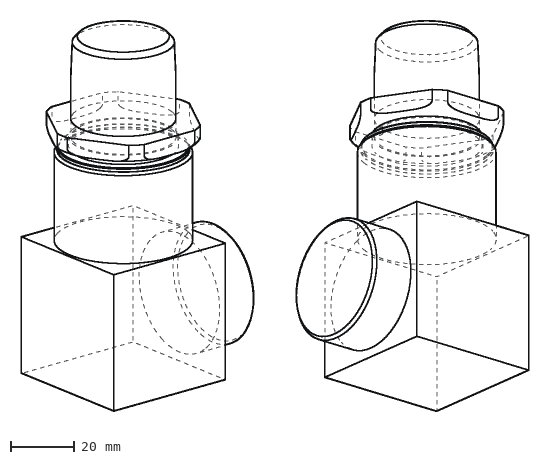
import cadquery as cq
import math

cube_size = 46.0
port_diameter = 40.0
port_reach = 38.0
port_chamfer = 1.0

barrel_diameter = 44.0
barrel_chamfer = 0.9
collar_diameter = 42.0
collar_base_z = 76.55
collar_top_z = 77.8
collar_chamfer = 0.3

nut_across_flats = 46.0
nut_corner_diameter = 50.5
nut_bottom_z = 81.0
nut_height = 6.0
nut_corner_rounding = 2.3

neck_diameter = 34.95
plug_diameter = 33.4
plug_shoulder_diameter = 32.5
plug_tip_diameter = 29.2
plug_straight_top_z = 101.85
plug_taper_bulge = 0.03
plug_tip_chamfer_height = 1.8
overall_height = 114.65


def make_housing():
    """Cube with a chamfered round port."""
    cube = cq.Workplane("XY").box(cube_size, cube_size, cube_size, centered=(True, True, False))
    port = (
        cq.Workplane("XZ", origin=(0, 0, cube_size / 2))
        .circle(port_diameter / 2)
        .extrude(-port_reach)
        .faces(">Y")
        .chamfer(port_chamfer)
    )
    return cube.union(port)


def make_sleeve():
    """Chamfered barrel that carries a narrower chamfered collar."""
    barrel = (
        cq.Workplane("XY", origin=(0, 0, cube_size))
        .circle(barrel_diameter / 2)
        .extrude(collar_base_z - cube_size)
        .faces(">Z")
        .chamfer(barrel_chamfer)
    )
    collar = (
        cq.Workplane("XY", origin=(0, 0, collar_base_z))
        .circle(collar_diameter / 2)
        .extrude(collar_top_z - collar_base_z)
        .faces(">Z")
        .chamfer(collar_chamfer)
    )
    return barrel.union(collar)


def make_stem():
    """Neck on the collar, then a plug that tapers slightly to a chamfered tip."""
    neck_radius = neck_diameter / 2
    plug_radius = plug_diameter / 2
    shoulder_radius = plug_shoulder_diameter / 2
    shoulder_z = overall_height - plug_tip_chamfer_height
    taper_middle = (
        (plug_radius + shoulder_radius) / 2 + plug_taper_bulge,
        (plug_straight_top_z + shoulder_z) / 2,
    )
    return (
        cq.Workplane("XZ")
        .moveTo(0, collar_top_z)
        .lineTo(neck_radius, collar_top_z)
        .lineTo(neck_radius, nut_bottom_z)
        .lineTo(plug_radius, nut_bottom_z)
        .lineTo(plug_radius, plug_straight_top_z)
        .threePointArc(taper_middle, (shoulder_radius, shoulder_z))
        .lineTo(plug_tip_diameter / 2, overall_height)
        .lineTo(0, overall_height)
        .close()
        .revolve(360, (0, 0, 0), (0, 1, 0))
    )


def make_nut():
    """Hexagon trimmed by a disc with a rounded lower rim, bored for the plug."""
    base = cq.Workplane("XY", origin=(0, 0, nut_bottom_z))
    corner_to_corner = nut_across_flats / math.cos(math.pi / 6)
    hexagon = (
        base.transformed(rotate=(0, 0, 90))
        .polygon(6, corner_to_corner)
        .extrude(nut_height)
    )
    rim = (
        base.circle(nut_corner_diameter / 2)
        .extrude(nut_height)
        .faces("<Z")
        .edges()
        .fillet(nut_corner_rounding)
    )
    bore = base.circle(plug_diameter / 2).extrude(nut_height)
    return hexagon.intersect(rim).cut(bore)


housing = make_housing()
sleeve = make_sleeve()
stem = make_stem()
nut = make_nut()

result = cq.Compound.makeCompound([housing.val(), sleeve.val(), stem.val(), nut.val()])